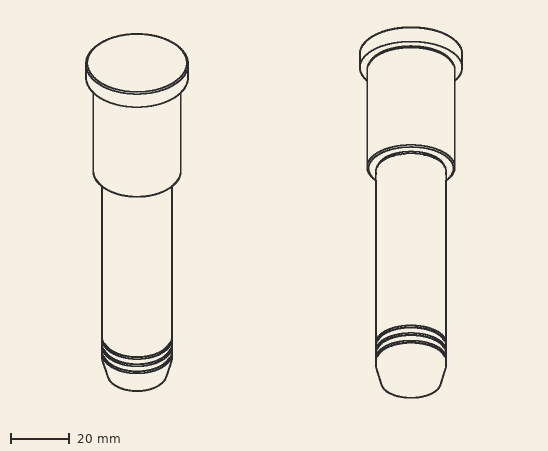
import cadquery as cq
import math

total_length = 131.0
flange_thickness = 6.0
body_length = 40.0
tip_length = 7.0

flange_radius = 35.0 / 2
body_radius = 30.0 / 2
shank_radius = 24.0 / 2

flange_chamfer = 0.5
body_chamfer = 0.5
tip_angle = 15.0
tip_fillet = 0.5

flange_relief_floor = 0.4
flange_relief_depth = 0.5
shank_relief_width = 1.0
shank_relief_depth = 0.5

groove_count = 3
groove_pitch = 3.0
groove_depth = 0.46
lowest_groove_height = 9.4

flange_bottom = total_length - flange_thickness
body_bottom = flange_bottom - body_length
tip_radius = shank_radius - tip_length * math.tan(math.radians(tip_angle))


def turned(profile):
    """Solid of revolution about Z from (radius, height) points."""
    return cq.Workplane("XZ").polyline(profile).close().revolve(360, (0, 0, 0), (0, 1, 0))


def make_flange():
    """Head disc with a chamfered top edge."""
    disc = turned([
        (0, flange_bottom),
        (flange_radius, flange_bottom),
        (flange_radius, total_length),
        (0, total_length),
    ])
    return disc.faces(">Z").edges().chamfer(flange_chamfer)


def make_body():
    """Thick section, chamfered below and relieved under the flange."""
    relief_radius = body_radius - flange_relief_depth
    relief_bottom = flange_bottom - flange_relief_floor
    return turned([
        (0, body_bottom),
        (body_radius - body_chamfer, body_bottom),
        (body_radius, body_bottom + body_chamfer),
        (body_radius, relief_bottom - flange_relief_depth),
        (relief_radius, relief_bottom),
        (relief_radius, flange_bottom),
        (0, flange_bottom),
    ])


def make_shank():
    """Long section with ring grooves, relieved under the body."""
    relief_radius = shank_radius - shank_relief_depth
    relief_bottom = body_bottom - shank_relief_width
    profile = [(0, tip_length), (shank_radius, tip_length)]
    for index in range(groove_count):
        height = lowest_groove_height + index * groove_pitch
        profile += [
            (shank_radius, height - groove_depth),
            (shank_radius - groove_depth, height),
            (shank_radius, height + groove_depth),
        ]
    profile += [
        (shank_radius, relief_bottom),
        (relief_radius, relief_bottom),
        (relief_radius, body_bottom),
        (0, body_bottom),
    ]
    return turned(profile)


def make_tip():
    """Conical lead-in with a rounded end."""
    cone = turned([(0, 0), (tip_radius, 0), (shank_radius, tip_length), (0, tip_length)])
    return cone.faces("<Z").edges().fillet(tip_fillet)


result = make_flange().union(make_body()).union(make_shank()).union(make_tip())